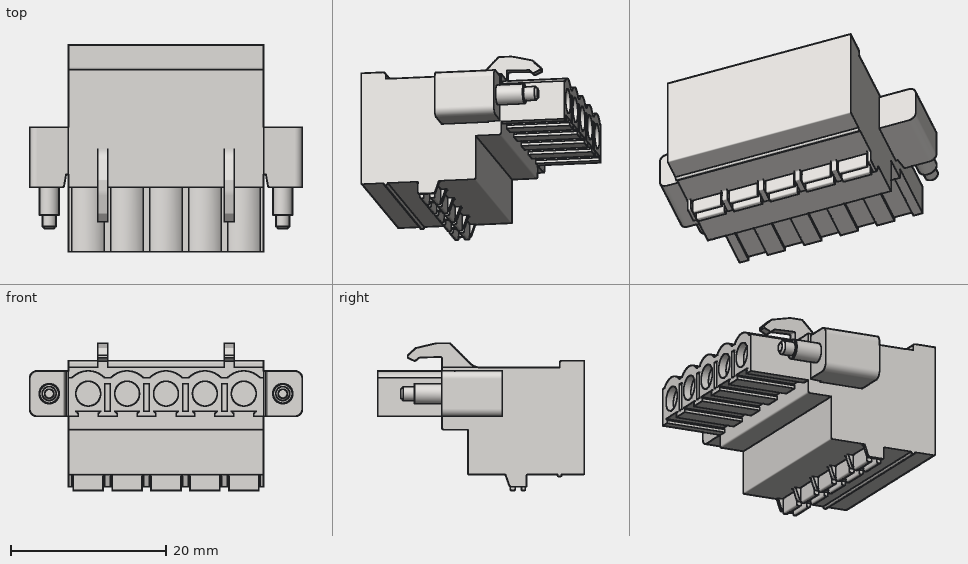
import cadquery as cq
import math


body_width = 25.13
back_y = 26.6
body_front_y = 8.3
lower_front_y = 11.62
ledge_z = 5.75
body_top_z = 13.8
rail_front_y = 23.4
rail_top_z = 14.67
rail_round = 0.3
ledge_round = 0.25
bottom_round = 0.18
bead_radius = 0.28

pole_count = 5
pole_span = 20.0
pole_pitch = pole_span / (pole_count - 1)
row_bottom_z = 7.48
row_height = 5.85
shell_radius = row_height / 2
pole_z = row_bottom_z + shell_radius
row_flat_z = 12.45
socket_diameter = 3.2
socket_depth = 1.05
slot_width = 0.7
slot_bottom_z = 8.15
slot_top_z = 11.7
keyway_top_half_width = 1.58
keyway_half_width = 1.3
keyway_shoulder_z = 7.85

flange_span = 35.1
flange_back_y = 16.05
flange_round = 1.0
relief_depth = 1.65
relief_back_width = 0.28
relief_front_width = 0.55
relief_round = 0.2

pin_x = 15.02
pin_diameter = 2.55
pin_end_y = 4.7
pin_chamfer = 0.07
tip_diameter = 1.8
tip_end_y = 3.0
tip_chamfer = 0.3

hook_x = 8.15
hook_width = 1.35
hook_top_z = 16.92
hook_slope = math.radians(45)
hook_crest_y = 9.3
hook_root_radius = 1.85
hook_brow = (7.58, hook_top_z)
hook_nose = (4.9, 16.3)
hook_tip_top = (3.85, 15.35)
hook_tip_bottom = (3.85, 15.02)
hook_barb = (4.8, 14.55)
hook_barb_back = (5.35, 15.02)
hook_throat = (body_front_y, 15.13)
hook_crest_round = 0.25
hook_brow_round = 2.45
hook_nose_round = 0.35
hook_throat_round = 0.2
hook_barb_round = 0.2

rib_width = 0.77
rib_back_y = 19.15
rib_front_top_y = 16.43
rib_front_bottom_y = 17.0
rib_depth = 1.58
rib_root_round = 0.2
rib_back_round = 0.15
rib_front_round = 0.25
toe_width = 3.85
toe_depth = 2.07
toe_round = 0.2
front_toe = (17.05, 17.73)
back_toe = (18.5, 19.02)

half_body = body_width / 2
half_flange = flange_span / 2
pole_xs = [(i - (pole_count - 1) / 2) * pole_pitch for i in range(pole_count)]
gap_xs = [x + pole_pitch / 2 for x in pole_xs[:-1]]


def side_plate(points, width, x=0):
    """Plate of the given width centred on x, with its outline given as (Y, Z) points."""
    outline = cq.Workplane("YZ", origin=(x - width / 2, 0, 0)).polyline(points).close()
    return outline.extrude(width)


def round_x_edge(solid, x, y, z, radius):
    """Fillet the edge parallel to X whose middle is nearest to the given point."""
    nearest = cq.selectors.NearestToPointSelector((x, y, z))
    return solid.edges("|X").edges(nearest).fillet(radius)


def make_body():
    body = side_plate(
        [
            (back_y, 0),
            (back_y, rail_top_z),
            (rail_front_y, rail_top_z),
            (rail_front_y, body_top_z),
            (body_front_y, body_top_z),
            (body_front_y, ledge_z),
            (lower_front_y, ledge_z),
            (lower_front_y, 0),
        ],
        body_width,
    )
    body = round_x_edge(body, 0, rail_front_y, rail_top_z, rail_round)
    body = round_x_edge(body, 0, body_front_y, ledge_z, ledge_round)
    body = round_x_edge(body, 0, lower_front_y, 0, bottom_round)
    return round_x_edge(body, 0, back_y, 0, bottom_round)


def make_socket_row():
    arc_half_width = math.sqrt(shell_radius**2 - (row_flat_z - pole_z) ** 2)
    outline = cq.Workplane("XZ").moveTo(-half_body, row_bottom_z).lineTo(-half_body, row_flat_z)
    for x in pole_xs:
        outline = outline.lineTo(x - arc_half_width, row_flat_z)
        outline = outline.threePointArc((x, pole_z + shell_radius), (x + arc_half_width, row_flat_z))
    outline = outline.lineTo(half_body, row_flat_z).lineTo(half_body, row_bottom_z)
    for x in reversed(pole_xs):
        outline = outline.lineTo(x + keyway_half_width, row_bottom_z)
        outline = outline.lineTo(x + keyway_half_width, keyway_shoulder_z)
        outline = outline.lineTo(x + keyway_top_half_width, slot_bottom_z)
        outline = outline.lineTo(x - keyway_top_half_width, slot_bottom_z)
        outline = outline.lineTo(x - keyway_half_width, keyway_shoulder_z)
        outline = outline.lineTo(x - keyway_half_width, row_bottom_z)
    row = outline.close().extrude(-body_front_y)

    sockets = (
        cq.Workplane("XZ")
        .pushPoints([(x, pole_z) for x in pole_xs])
        .circle(socket_diameter / 2)
        .extrude(-socket_depth)
    )
    slot_centre_z = (slot_bottom_z + slot_top_z) / 2
    slots = (
        cq.Workplane("XZ")
        .pushPoints([(x, slot_centre_z) for x in gap_xs])
        .rect(slot_width, slot_top_z - slot_bottom_z)
        .extrude(-body_front_y)
    )
    return row.cut(sockets).cut(slots)


def make_flange():
    """Right-hand flange with its pin."""
    relief_back_y = body_front_y + relief_depth
    relief_corner = (half_body + relief_front_width, body_front_y)
    flange = (
        cq.Workplane("XY", origin=(0, 0, row_bottom_z))
        .polyline(
            [
                (half_body, flange_back_y),
                (half_flange, flange_back_y),
                (half_flange, body_front_y),
                relief_corner,
                (half_body + relief_back_width, relief_back_y),
                (half_body, relief_back_y),
            ]
        )
        .close()
        .extrude(row_height)
    )
    flange = flange.edges("|Y and >X").fillet(flange_round)
    relief_edge = cq.selectors.NearestToPointSelector((*relief_corner, pole_z))
    flange = flange.edges("|Z").edges(relief_edge).fillet(relief_round)

    pin = (
        cq.Workplane("XZ", origin=(pin_x, pin_end_y, pole_z))
        .circle(pin_diameter / 2)
        .extrude(pin_end_y - body_front_y)
        .faces("<Y")
        .chamfer(pin_chamfer)
    )
    tip = (
        cq.Workplane("XZ", origin=(pin_x, tip_end_y, pole_z))
        .circle(tip_diameter / 2)
        .extrude(tip_end_y - pin_end_y)
        .faces("<Y")
        .chamfer(tip_chamfer)
    )
    return flange.union(pin).union(tip)


def make_hook(x):
    slope_foot_y = hook_crest_y + (hook_top_z - body_top_z) / math.tan(hook_slope)
    tangent_length = hook_root_radius * math.tan(hook_slope / 2)
    root_start_y = slope_foot_y + tangent_length

    def root_point(angle):
        """Point on the root arc where its tangent has climbed to the given angle."""
        y = root_start_y - hook_root_radius * math.sin(angle)
        z = body_top_z + hook_root_radius * (1 - math.cos(angle))
        return (y, z)

    hook = (
        cq.Workplane("YZ", origin=(x - hook_width / 2, 0, 0))
        .moveTo(root_start_y, body_top_z)
        .threePointArc(root_point(hook_slope / 2), root_point(hook_slope))
        .lineTo(hook_crest_y, hook_top_z)
        .lineTo(*hook_brow)
        .lineTo(*hook_nose)
        .lineTo(*hook_tip_top)
        .lineTo(*hook_tip_bottom)
        .lineTo(*hook_barb)
        .lineTo(*hook_barb_back)
        .lineTo(*hook_throat)
        .lineTo(body_front_y, body_top_z)
        .close()
        .extrude(hook_width)
    )
    hook = round_x_edge(hook, x, hook_crest_y, hook_top_z, hook_crest_round)
    hook = round_x_edge(hook, x, *hook_brow, hook_brow_round)
    hook = round_x_edge(hook, x, *hook_nose, hook_nose_round)
    hook = round_x_edge(hook, x, *hook_throat, hook_throat_round)
    return round_x_edge(hook, x, *hook_barb, hook_barb_round)


def add_rib(body, left_x, right_x):
    """Add one foot rib, blended into the underside of the body."""
    x = (left_x + right_x) / 2
    rib = side_plate(
        [
            (rib_back_y, 0),
            (rib_front_top_y, 0),
            (rib_front_bottom_y, -rib_depth),
            (rib_back_y, -rib_depth),
        ],
        right_x - left_x,
        x,
    )
    rib = round_x_edge(rib, x, rib_front_bottom_y, -rib_depth, rib_front_round)
    rib = round_x_edge(rib, x, rib_back_y, -rib_depth, rib_back_round)
    body = body.union(rib)
    body = round_x_edge(body, x, rib_front_top_y, 0, rib_root_round)
    return round_x_edge(body, x, rib_back_y, 0, rib_root_round)


def make_toe(x, front_y, rear_y):
    toe = side_plate(
        [(front_y, 0), (rear_y, 0), (rear_y, -toe_depth), (front_y, -toe_depth)],
        toe_width,
        x,
    )
    return toe.edges("|X and <Z").fillet(toe_round)


result = make_body()

half_rib = rib_width / 2
for x in gap_xs:
    result = add_rib(result, x - half_rib, x + half_rib)
end_rib_inner_x = gap_xs[-1] + pole_pitch - half_rib
result = add_rib(result, end_rib_inner_x, half_body)
result = add_rib(result, -half_body, -end_rib_inner_x)

for x in pole_xs:
    for front_y, rear_y in (front_toe, back_toe):
        result = result.union(make_toe(x, front_y, rear_y))

bead = cq.Workplane("YZ", origin=(-half_body, rail_front_y, 0)).circle(bead_radius).extrude(body_width)
result = result.union(bead)

result = result.union(make_socket_row())

flange = make_flange()
result = result.union(flange).union(flange.mirror("YZ"))

for x in (-hook_x, hook_x):
    result = result.union(make_hook(x))